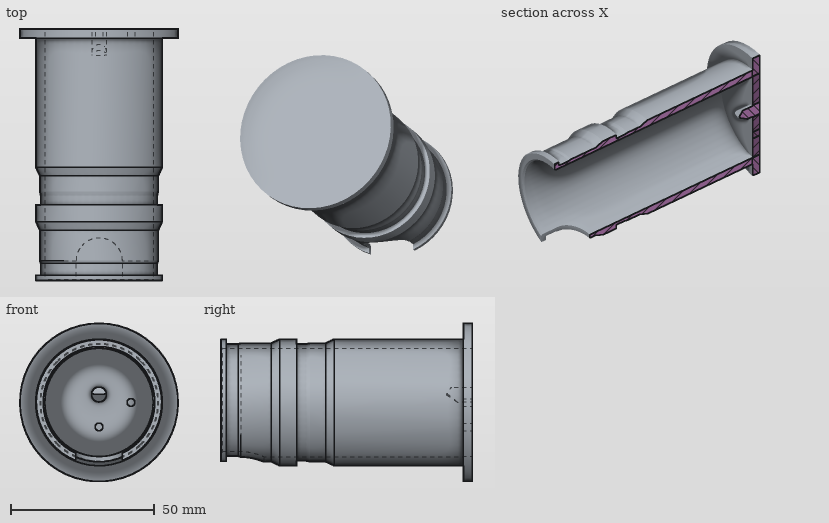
import cadquery as cq
import math

total_length = 87.5

flange_radius = 27.5
flange_thickness = 3.2

barrel_length = total_length - flange_thickness
land_radius = 22.0
waist_radius = 20.6
groove_radius = 20.3
bore_radius = 18.8
lip_width = 2.0
lip_edge_chamfer = 0.25
mouth_chamfer_depth = 0.6
mouth_chamfer_length = 0.6
front_groove_end = 6.1
front_waist_start = 7.0
front_waist_end = 17.6
middle_land_start = 20.6
middle_land_end = 26.4
rear_groove_end = 29.7
rear_waist_start = 31.1
rear_waist_end = 36.5
rear_land_start = 39.5

notch_width = 16.0
notch_length = 15.0

small_pin_radius = 1.35
small_pin_centers = [(11.1, 0.0), (0.0, -8.5)]
tip_pin_radius = 2.6
tip_pin_height = 2.75
tip_pin_projection = 6.0
tip_tilt = 34.0
tip_round_radius = 9.0


def cylinder_along_y(radius, start, length, x=0.0, z=0.0):
    """Solid cylinder running from Y = start toward +Y."""
    return cq.Workplane(cq.Solid.makeCylinder(radius, length, cq.Vector(x, start, z), cq.Vector(0, 1, 0)))


def make_notch():
    """Cutter for the notch: a vertical slot with a half-round inner end."""
    half_width = notch_width / 2
    straight_end = notch_length - half_width
    return (
        cq.Workplane("XY")
        .moveTo(-half_width, 0)
        .lineTo(-half_width, straight_end)
        .threePointArc((0, notch_length), (half_width, straight_end))
        .lineTo(half_width, 0)
        .close()
        .extrude(-flange_radius)
    )


def make_barrel():
    """Stepped sleeve with two seal grooves, two tapers and a notched mouth."""
    profile = [
        (bore_radius + mouth_chamfer_depth, 0),
        (land_radius - lip_edge_chamfer, 0),
        (land_radius, lip_edge_chamfer),
        (land_radius, lip_width),
        (groove_radius, lip_width),
        (groove_radius, front_groove_end),
        (waist_radius, front_waist_start),
        (waist_radius, front_waist_end),
        (land_radius, middle_land_start),
        (land_radius, middle_land_end),
        (groove_radius, middle_land_end),
        (groove_radius, rear_groove_end),
        (waist_radius, rear_waist_start),
        (waist_radius, rear_waist_end),
        (land_radius, rear_land_start),
        (land_radius, barrel_length),
        (bore_radius, barrel_length),
        (bore_radius, mouth_chamfer_length),
    ]
    sleeve = cq.Workplane("XY").polyline(profile).close().revolve(360, (0, 0, 0), (0, 1, 0))
    return sleeve.cut(make_notch())


def make_flange():
    """Ring butted against the rear end of the barrel."""
    ring = cylinder_along_y(flange_radius, barrel_length, flange_thickness)
    return ring.cut(cylinder_along_y(bore_radius, barrel_length, flange_thickness))


def make_small_pin(x, z):
    """Plain pin, flush with both faces of the floor disc."""
    return cylinder_along_y(small_pin_radius, barrel_length, flange_thickness, x, z)


def make_tip_pin():
    """Round pin whose end is a ridge: a flat upper face and a rounded lower face at a right angle."""
    ridge_y = barrel_length - tip_pin_projection
    blank = cylinder_along_y(tip_pin_radius, ridge_y, total_length - ridge_y, z=tip_pin_height)
    tilt = math.radians(tip_tilt)
    face_normal = cq.Vector(0, -math.cos(tilt), math.sin(tilt))
    up_the_face = cq.Vector(0, math.sin(tilt), math.cos(tilt))
    ridge = cq.Vector(0, ridge_y, tip_pin_height)
    rod_center = ridge + up_the_face * tip_round_radius
    tilted_rod = cq.Solid.makeCylinder(tip_round_radius, total_length, rod_center, face_normal * -1)
    return blank.intersect(cq.Workplane(tilted_rod))


def make_floor(pins):
    """Disc closing the flange bore, with a matching hole for every pin."""
    disc = cylinder_along_y(bore_radius, barrel_length, flange_thickness)
    for pin in pins:
        disc = disc.cut(pin)
    return disc


barrel = make_barrel()
flange = make_flange()
tip_pin = make_tip_pin()
small_pins = [make_small_pin(x, z) for x, z in small_pin_centers]
floor = make_floor([tip_pin, *small_pins])

result = cq.Compound.makeCompound(
    [barrel.val(), flange.val(), floor.val(), tip_pin.val(), *[pin.val() for pin in small_pins]]
)